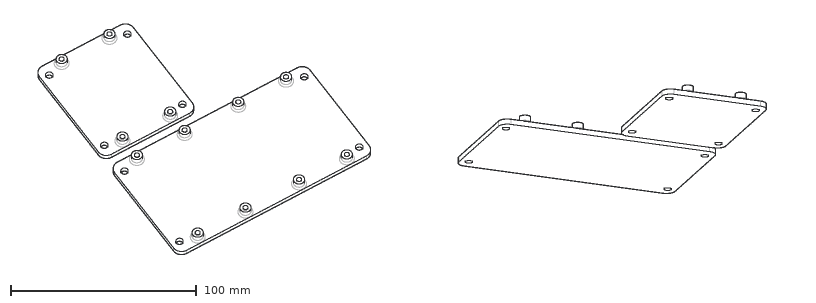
import cadquery as cq

plate_width = 69.0
plate_thickness = 3.0
corner_radius = 5.0
short_plate_length = 60.0
long_plate_length = 125.0
overall_width = 144.0
plate_pitch = overall_width - plate_width

hole_diameter = 4.0
hole_side_inset = 7.0
hole_end_inset = 5.0

standoff_diameter = 6.0
standoff_height = 4.0
standoff_side_inset = 4.2
standoff_end_inset = 14.8
standoff_row_spacing = 30.5
foot_fillet = 1.0
bore_diameter = 2.7
bore_depth = standoff_height


def mirrored_points(side_inset, row_positions):
    """Points on both sides of a plate, at each row position along Y."""
    return [(x, y) for x in (side_inset, plate_width - side_inset) for y in row_positions]


def plate_blank(length):
    """Flat plate with rounded corners, its front left corner at the origin."""
    return (
        cq.Workplane("XY")
        .box(plate_width, length, plate_thickness, centered=False)
        .edges("|Z")
        .fillet(corner_radius)
    )


def standoff_profile():
    """Half section of a solid standoff, with the concave fillet at its foot."""
    radius = standoff_diameter / 2
    return (
        cq.Workplane("XZ")
        .lineTo(radius + foot_fillet, 0)
        .radiusArc((radius, foot_fillet), foot_fillet)
        .lineTo(radius, standoff_height)
        .lineTo(0, standoff_height)
        .close()
    )


def standoff_plate(length, standoff_rows):
    """Plate with corner holes and a standoff on both sides at each row position along Y."""
    hole_rows = (hole_end_inset, length - hole_end_inset)
    hole_points = mirrored_points(hole_side_inset, hole_rows)
    plate = plate_blank(length)
    plate = plate.cut(
        cq.Workplane("XY").pushPoints(hole_points).circle(hole_diameter / 2).extrude(plate_thickness)
    )

    standoff = standoff_profile().revolve(360, (0, 0), (0, 1))
    bore_bottom = plate_thickness + standoff_height - bore_depth
    bore = cq.Workplane("XY").circle(bore_diameter / 2).extrude(bore_depth)
    for x, y in mirrored_points(standoff_side_inset, standoff_rows):
        plate = plate.union(standoff.translate((x, y, plate_thickness)))
        plate = plate.cut(bore.translate((x, y, bore_bottom)))
    return plate.solids()


front_rows = [standoff_end_inset, standoff_end_inset + standoff_row_spacing]
back_rows = [long_plate_length - row for row in front_rows]

short_plate = standoff_plate(short_plate_length, front_rows)
long_plate = standoff_plate(long_plate_length, front_rows + back_rows).translate((plate_pitch, 0, 0))

result = cq.Compound.makeCompound([short_plate.val(), long_plate.val()])